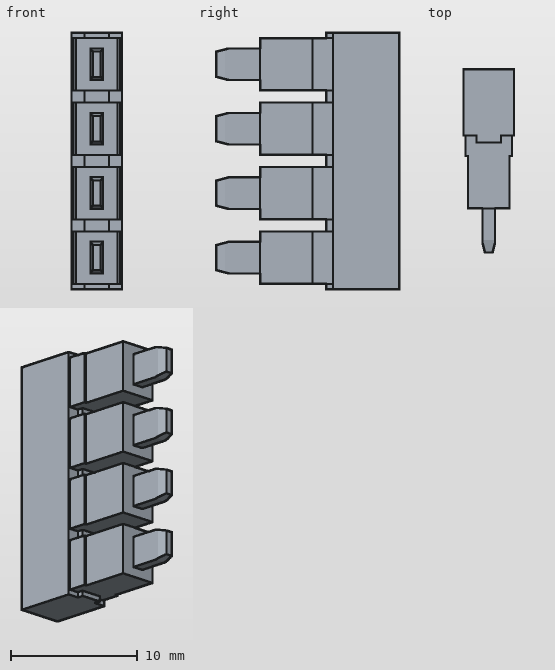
import cadquery as cq

bar_width = 4.0
bar_height = 20.3
total_depth = 14.5
bar_front = total_depth - 9.24

rail_width = 1.93
rail_projection = 0.53

housing_count = 4
housing_pitch = 5.1
housing_height = 4.15
housing_width = 3.29
housing_projection = 5.75
shoulder_width = 3.7
shoulder_projection = 1.6

pin_width = 1.0
pin_height = 2.52
tip_width = 0.6
tip_height = 1.99
width_taper_length = 0.73
height_taper_length = 1.0

housing_front = bar_front + housing_projection


def block(width, height, back, front, center_z=0.0):
    """Box centred in X, between two depths measured from the back face."""
    middle_y = -(back + front) / 2
    return cq.Workplane("XY").box(width, front - back, height).translate((0, middle_y, center_z))


def tapered_profile(plane, size, tip_size, taper_length, thickness):
    """Pin outline narrowing at its tip, extruded symmetrically about the plane."""
    taper_start = -(total_depth - taper_length)
    outline = [
        (-size / 2, -housing_front),
        (size / 2, -housing_front),
        (size / 2, taper_start),
        (tip_size / 2, -total_depth),
        (-tip_size / 2, -total_depth),
        (-size / 2, taper_start),
    ]
    return cq.Workplane(plane).polyline(outline).close().extrude(thickness / 2, both=True)


def pin(center_z):
    across_width = tapered_profile("XY", pin_width, tip_width, width_taper_length, pin_height)
    height_plane = cq.Plane(origin=(0, 0, 0), xDir=(0, 0, 1), normal=(-1, 0, 0))
    across_height = tapered_profile(
        height_plane, pin_height, tip_height, height_taper_length, pin_width
    )
    return across_width.intersect(across_height).translate((0, 0, center_z))


def contact(center_z):
    shoulder_front = bar_front + shoulder_projection
    shoulder = block(shoulder_width, housing_height, bar_front, shoulder_front, center_z)
    housing = block(housing_width, housing_height, bar_front, housing_front, center_z)
    return shoulder.union(housing).union(pin(center_z))


bar = block(bar_width, bar_height, 0, bar_front)
rail = block(rail_width, bar_height, bar_front, bar_front + rail_projection)
result = bar.union(rail)

for index in range(housing_count):
    contact_z = (index - (housing_count - 1) / 2) * housing_pitch
    result = result.union(contact(contact_z))